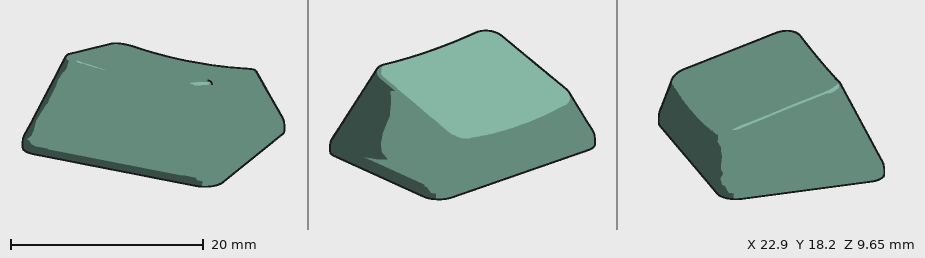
import cadquery as cq
import math

base_width = 22.92
base_depth = 18.15
base_corner_radius = 2.06
skirt_height = 0.66

blend_height = 0.65
blend_side_inset = 0.15
blend_front_inset = 0.14
blend_back_inset = 0.02

rim_width = 16.5
rim_front_y = -5.09
rim_back_y = 8.69
rim_front_z = 9.95
rim_corner_radius = 2.06
rim_fillet = 0.45
tilt_angle = 15.4

dish_depth = 0.69
dish_radius = ((rim_width / 2) ** 2 + dish_depth**2) / (2 * dish_depth)

wall_overrun = 0.08
cutter_length = 3 * base_depth

foot_z = skirt_height + blend_height
foot_width = base_width - 2 * blend_side_inset
foot_front_y = blend_front_inset - base_depth / 2
foot_back_y = base_depth / 2 - blend_back_inset

tilt = math.radians(tilt_angle)
rim_back_z = rim_front_z - math.tan(tilt) * (rim_back_y - rim_front_y)


def extend(foot_value, rim_value):
    """Continue a wall line from its foot past the rim."""
    return rim_value + wall_overrun * (rim_value - foot_value)


def rounded_loop(plane, width, depth, radius):
    """Rounded rectangle centred on the plane's origin."""
    sketch = cq.Sketch().rect(width, depth).vertices().fillet(radius)
    return sketch.moved(cq.Location(plane))._faces.Faces()[0].outerWire()


def make_skirt():
    return (
        cq.Workplane("XY")
        .rect(base_width, base_depth)
        .extrude(skirt_height)
        .edges("|Z")
        .fillet(base_corner_radius)
    )


def blend_loop(share):
    """Level loop at a share of the blend height, drawn in along a parabola."""
    inset_share = share**2
    front_inset = blend_front_inset * inset_share
    back_inset = blend_back_inset * inset_share
    center = (0, (front_inset - back_inset) / 2, skirt_height + blend_height * share)
    return rounded_loop(
        cq.Plane(center),
        base_width - 2 * blend_side_inset * inset_share,
        base_depth - front_inset - back_inset,
        base_corner_radius,
    )


def make_blend():
    loops = [blend_loop(share) for share in (0, 0.5, 1)]
    return cq.Workplane(cq.Solid.makeLoft(loops))


def make_walls():
    """Straight walls from the top of the blend to a tilted loop just above the rim."""
    front_y = extend(foot_front_y, rim_front_y)
    back_y = extend(foot_back_y, rim_back_y)
    front_z = extend(foot_z, rim_front_z)
    back_z = extend(foot_z, rim_back_z)
    loop_depth = math.hypot(back_y - front_y, back_z - front_z)
    loop_normal = (0, front_z - back_z, back_y - front_y)
    loop_center = (0, (front_y + back_y) / 2, (front_z + back_z) / 2)

    upper = rounded_loop(
        cq.Plane(loop_center, (1, 0, 0), loop_normal),
        extend(foot_width, rim_width),
        loop_depth,
        extend(base_corner_radius, rim_corner_radius),
    )
    return cq.Workplane(cq.Solid.makeLoft([blend_loop(1), upper], True))


def make_dish_cutter():
    """Cylinder whose lowest line lies dish_depth below the rim plane."""
    along = cq.Vector(0, math.cos(tilt), -math.sin(tilt))
    normal = cq.Vector(0, math.sin(tilt), math.cos(tilt))
    rim_center = cq.Vector(0, (rim_front_y + rim_back_y) / 2, (rim_front_z + rim_back_z) / 2)
    axis_point = rim_center + normal * (dish_radius - dish_depth)
    start = axis_point - along * (cutter_length / 2)
    return cq.Workplane(cq.Solid.makeCylinder(dish_radius, cutter_length, start, along))


walls = make_walls().cut(make_dish_cutter())
walls = walls.faces("%CYLINDER").edges().fillet(rim_fillet)
result = make_skirt().union(make_blend()).union(walls)